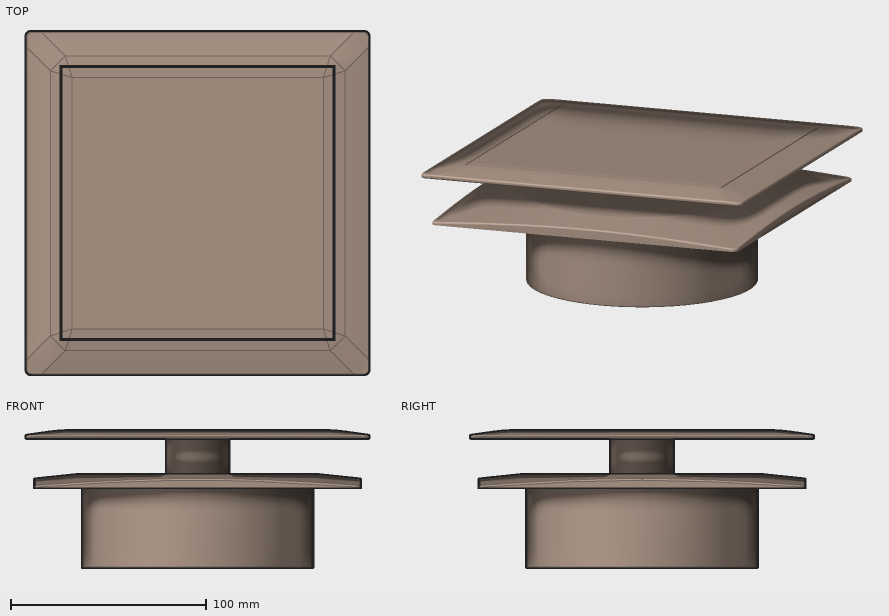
import cadquery as cq
import math

TOTAL_HEIGHT = 71.0
COVER_BOTTOM = 66.2
FLANGE_BOTTOM = 41.0
FLANGE_TOP = 48.4

DUCT_DIAMETER = 119.0
DUCT_RIM_FILLET = 0.7
FLANGE_SIDE = 167.7
FLANGE_FLAT_DIAMETER = 123.5
FLANGE_SLOPE = 6.0
FLANGE_CORNER_RADIUS = 3.0
FLANGE_EDGE_FILLET = 0.9

STEM_DIAMETER = 32.8

COVER_SIDE = 176.5
COVER_SLOPE = 8.0
COVER_CREST_SIDE = 140.0
COVER_CORNER_RADIUS = 3.0
COVER_HIP_RADIUS = 54.7
COVER_CREST_RADIUS = 80.0
COVER_RIM_FILLET = 0.9
PYRAMID_TAPER_RUN = 35.3
DIAGONAL_TOLERANCE = 0.002

GROOVE_WIDTH = 0.7
GROOVE_DEPTH = 0.5


def make_base():
    """Square flange with a conical upper face, on a round duct."""
    cone_top_radius = FLANGE_FLAT_DIAMETER / 2
    cone_bottom_radius = FLANGE_SIDE
    cone_drop = (cone_bottom_radius - cone_top_radius) * math.tan(math.radians(FLANGE_SLOPE))
    cone = (
        cq.Workplane("XZ")
        .moveTo(0, FLANGE_TOP)
        .lineTo(cone_top_radius, FLANGE_TOP)
        .lineTo(cone_bottom_radius, FLANGE_TOP - cone_drop)
        .lineTo(0, FLANGE_TOP - cone_drop)
        .close()
        .revolve()
    )
    flange = (
        cq.Workplane("XY", origin=(0, 0, FLANGE_BOTTOM))
        .rect(FLANGE_SIDE, FLANGE_SIDE)
        .extrude(FLANGE_TOP - FLANGE_BOTTOM)
        .edges("|Z")
        .fillet(FLANGE_CORNER_RADIUS)
        .intersect(cone)
    )
    cone_edges = flange.faces("%CONE").edges().vals()
    outer_edges = [edge for edge in cone_edges if edge.geomType() not in ("LINE", "CIRCLE")]
    flange = flange.newObject(outer_edges).fillet(FLANGE_EDGE_FILLET)
    duct = (
        cq.Workplane("XY")
        .circle(DUCT_DIAMETER / 2)
        .extrude(FLANGE_BOTTOM)
        .faces("<Z")
        .edges()
        .fillet(DUCT_RIM_FILLET)
    )
    return flange.union(duct)


def make_stem():
    """Round post carrying the cover above the flange."""
    return (
        cq.Workplane("XY", origin=(0, 0, FLANGE_TOP))
        .circle(STEM_DIAMETER / 2)
        .extrude(COVER_BOTTOM - FLANGE_TOP)
    )


def lies_on_diagonal(edge):
    """True for an edge whose middle is equally far from the X and Y axes."""
    middle = edge.Center()
    return math.isclose(abs(middle.x), abs(middle.y), abs_tol=DIAGONAL_TOLERANCE)


def make_cover_pyramid():
    """Flat pyramid with a rounded crest and rounded hips, wider than the cover."""
    taper_drop = PYRAMID_TAPER_RUN * math.tan(math.radians(COVER_SLOPE))
    foot_side = COVER_CREST_SIDE + 2 * PYRAMID_TAPER_RUN
    pyramid = (
        cq.Workplane("XY", origin=(0, 0, TOTAL_HEIGHT - taper_drop))
        .rect(foot_side, foot_side)
        .workplane(offset=taper_drop)
        .rect(COVER_CREST_SIDE, COVER_CREST_SIDE)
        .loft(ruled=True)
        .faces(">Z")
        .edges()
        .fillet(COVER_CREST_RADIUS)
    )
    hips = [edge for edge in pyramid.edges().vals() if lies_on_diagonal(edge)]
    return pyramid.newObject(hips).fillet(COVER_HIP_RADIUS)


def make_groove():
    """Square ring with sharp corners, centred on the crest."""
    outer_side = COVER_CREST_SIDE + GROOVE_WIDTH
    inner_side = COVER_CREST_SIDE - GROOVE_WIDTH
    crest_sag = COVER_CREST_RADIUS * (1 / math.cos(math.radians(COVER_SLOPE / 2)) - 1)
    groove_bottom = TOTAL_HEIGHT - crest_sag - GROOVE_DEPTH
    return (
        cq.Workplane("XY", origin=(0, 0, groove_bottom))
        .rect(outer_side, outer_side)
        .rect(inner_side, inner_side)
        .extrude(TOTAL_HEIGHT - groove_bottom)
    )


def make_cover():
    """Square plate under the tapered border, with a groove along the crest."""
    plate = (
        cq.Workplane("XY", origin=(0, 0, COVER_BOTTOM))
        .rect(COVER_SIDE, COVER_SIDE)
        .extrude(TOTAL_HEIGHT - COVER_BOTTOM)
        .edges("|Z")
        .fillet(COVER_CORNER_RADIUS)
    )
    cover = plate.intersect(make_cover_pyramid())
    side_faces = cover.faces("#Z").vals()
    rim_edges = cover.newObject(side_faces).edges("not(|Z)")
    return rim_edges.fillet(COVER_RIM_FILLET).cut(make_groove())


base = make_base()
stem = make_stem()
cover = make_cover()

bodies = [body.solids().val() for body in (base, stem, cover)]
result = cq.Compound.makeCompound(bodies)